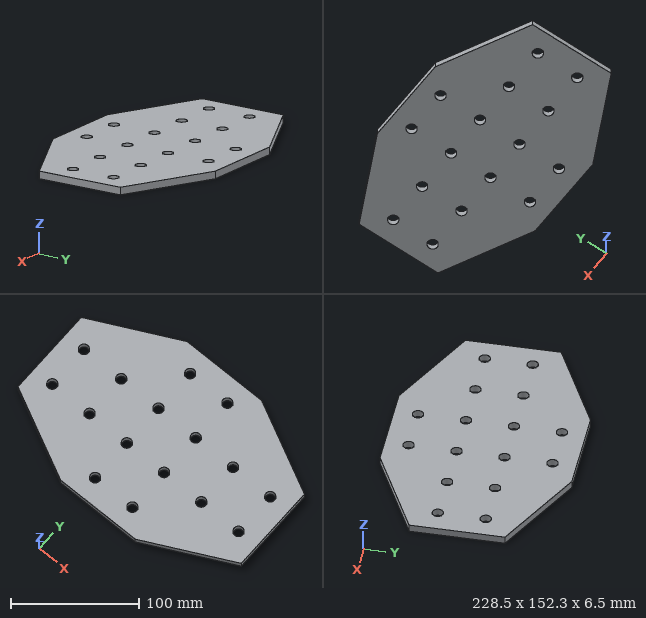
import cadquery as cq

length = 228.5
thickness = 6.5
hole_diameter = 8.7
columns = 6
rows = 4

pitch = length / columns
width = rows * pitch

corner_cut_x = 2 * pitch
corner_cut_y = pitch

half_length = length / 2
half_width = width / 2
flat_x = half_length - corner_cut_x
flat_y = half_width - corner_cut_y


def make_plate():
    """Octagonal plate with its underside at Z = 0."""
    outline = [
        (half_length, -flat_y),
        (half_length, flat_y),
        (flat_x, half_width),
        (-flat_x, half_width),
        (-half_length, flat_y),
        (-half_length, -flat_y),
        (-flat_x, -half_width),
        (flat_x, -half_width),
    ]
    return cq.Workplane("XY").polyline(outline).close().extrude(thickness)


def hole_centers():
    """Cell centers, leaving out the outer-row cells reached by the corner cuts."""
    centers = []
    for column in range(columns):
        for row in range(rows):
            x = (column + 0.5) * pitch - half_length
            y = (row + 0.5) * pitch - half_width
            if abs(x) < flat_x or abs(y) < flat_y:
                centers.append((x, y))
    return centers


def drill_holes(plate):
    """Plain through holes."""
    return plate.faces(">Z").workplane(origin=(0, 0, 0)).pushPoints(hole_centers()).hole(hole_diameter)


result = drill_holes(make_plate())